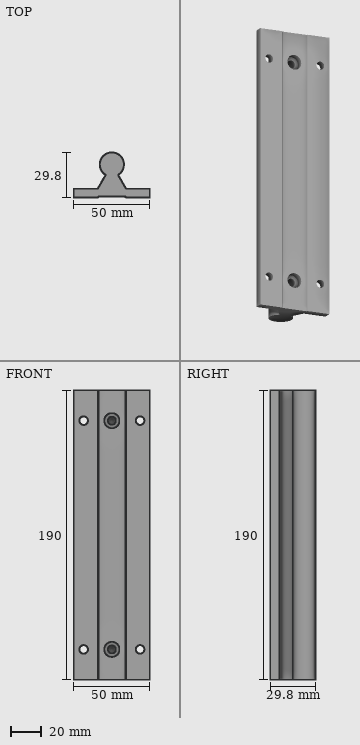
import cadquery as cq
import math

length = 190.0
base_width = 50.0
base_thickness = 6.0
overall_depth = 29.78

rod_radius = 8.0
rod_center_y = overall_depth - rod_radius

web_foot_half_width = 9.3
neck_half_width = 4.15
neck_y = rod_center_y - math.sqrt(rod_radius**2 - neck_half_width**2)

relief_half_width = web_foot_half_width
relief_slope_run = 0.55
relief_floor_half_width = relief_half_width - relief_slope_run
relief_depth = 0.7

row_spacing = 150.0
mounting_hole_spacing = 37.0
mounting_hole_diameter = 5.5
rod_hole_diameter = 5.3
rod_hole_depth = 18.0
counterbore_diameter = 10.0
counterbore_depth = 5.0
drill_tip_angle = 118.0


def make_rail():
    """Constant cross-section in the XY plane, extruded along the length."""
    base_half_width = base_width / 2
    return (
        cq.Workplane("XY")
        .moveTo(-base_half_width, 0)
        .lineTo(-relief_half_width, 0)
        .lineTo(-relief_floor_half_width, relief_depth)
        .lineTo(relief_floor_half_width, relief_depth)
        .lineTo(relief_half_width, 0)
        .lineTo(base_half_width, 0)
        .lineTo(base_half_width, base_thickness)
        .lineTo(web_foot_half_width, base_thickness)
        .lineTo(neck_half_width, neck_y)
        .threePointArc((0, overall_depth), (-neck_half_width, neck_y))
        .lineTo(-web_foot_half_width, base_thickness)
        .lineTo(-base_half_width, base_thickness)
        .close()
        .extrude(length)
    )


def make_mounting_hole(x, z):
    """Plain through hole in a base flange."""
    return cq.Workplane("XZ").center(x, z).circle(mounting_hole_diameter / 2).extrude(-base_thickness)


def make_rod_hole(z):
    """Counterbored blind hole with a conical drill tip, revolved about its own axis along Y."""
    hole_radius = rod_hole_diameter / 2
    counterbore_radius = counterbore_diameter / 2
    shoulder_y = relief_depth + counterbore_depth
    hole_end_y = relief_depth + rod_hole_depth
    tip_y = hole_end_y + hole_radius / math.tan(math.radians(drill_tip_angle / 2))
    return (
        cq.Workplane("XY", origin=(0, 0, z))
        .moveTo(0, 0)
        .lineTo(counterbore_radius, 0)
        .lineTo(counterbore_radius, shoulder_y)
        .lineTo(hole_radius, shoulder_y)
        .lineTo(hole_radius, hole_end_y)
        .lineTo(0, tip_y)
        .close()
        .revolve(360, (0, 0), (0, 1))
    )


result = make_rail()
for side_z in (-1, 1):
    row_z = length / 2 + side_z * row_spacing / 2
    result = result.cut(make_rod_hole(row_z))
    for side_x in (-1, 1):
        result = result.cut(make_mounting_hole(side_x * mounting_hole_spacing / 2, row_z))